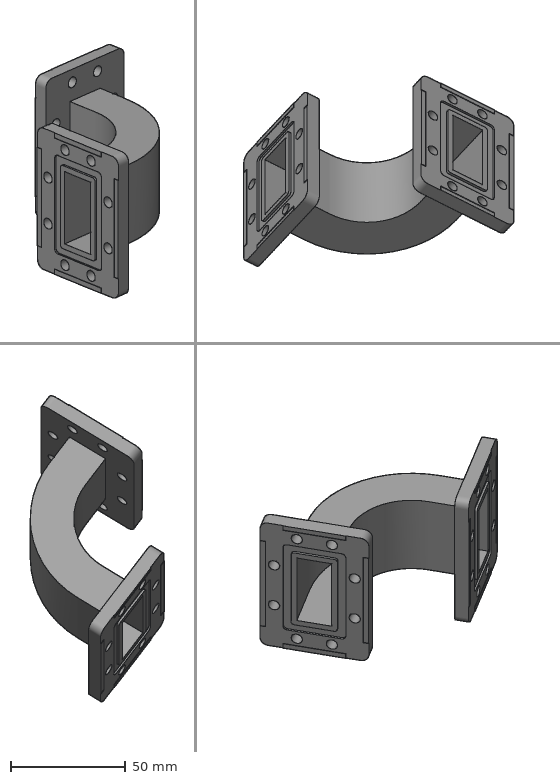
import cadquery as cq

BORE_WIDTH = 15.8
BORE_HEIGHT = 34.85
TUBE_WIDTH = 19.05
TUBE_HEIGHT = 38.1
BEND_RADIUS = 38.1
OVERALL = 85.12

FLANGE_WIDTH = 49.21
FLANGE_HEIGHT = 68.25
PLATE_THICKNESS = 6.35
CORNER_RADIUS = 3.8

PAD_RISE = 0.2
PAD_DEPTH = 2.5
GROOVE_OUTER_WIDTH = 28.4
GROOVE_OUTER_HEIGHT = 47.5
GROOVE_OUTER_RADIUS = 2.0
GROOVE_INNER_WIDTH = 21.0
GROOVE_INNER_HEIGHT = 40.1
GROOVE_INNER_RADIUS = 1.5
GROOVE_DEPTH = 1.1

HOLE_DIAMETER = 5.03
END_HOLE_PITCH = 15.875
END_ROW_SPACING = 55.56
SIDE_HOLE_PITCH = 22.225
SIDE_ROW_SPACING = 36.51

PORT_REACH = OVERALL - FLANGE_WIDTH / 2
FLANGE_THICKNESS = PLATE_THICKNESS + PAD_RISE
END_PAD_LENGTH = GROOVE_OUTER_WIDTH
SIDE_PAD_LENGTH = GROOVE_OUTER_HEIGHT


def rounded_block(width, height, thickness, radius):
    """Block standing on the XY plane, with rounded corner edges."""
    return cq.Workplane("XY").rect(width, height).extrude(thickness).edges("|Z").fillet(radius)


def pad_pair(x_offset, y_offset, width, height):
    """Two opposite pads, as tall as the whole flange."""
    return (
        cq.Workplane("XY")
        .pushPoints([(-x_offset, -y_offset), (x_offset, y_offset)])
        .rect(width, height)
        .extrude(FLANGE_THICKNESS)
    )


def edge_pads():
    """Four pads, one along the middle of each flange edge."""
    end_pads = pad_pair(0, (FLANGE_HEIGHT - PAD_DEPTH) / 2, END_PAD_LENGTH, PAD_DEPTH)
    side_pads = pad_pair((FLANGE_WIDTH - PAD_DEPTH) / 2, 0, PAD_DEPTH, SIDE_PAD_LENGTH)
    return end_pads.union(side_pads)


def hole_group(x_spacing, y_spacing):
    """Cylinders for four bolt holes at the corners of a rectangle."""
    return (
        cq.Workplane("XY")
        .rarray(x_spacing, y_spacing, 2, 2)
        .circle(HOLE_DIAMETER / 2)
        .extrude(FLANGE_THICKNESS)
    )


def bolt_holes():
    """Cylinders for the eight bolt holes."""
    end_holes = hole_group(END_HOLE_PITCH, END_ROW_SPACING)
    side_holes = hole_group(SIDE_ROW_SPACING, SIDE_HOLE_PITCH)
    return end_holes.union(side_holes)


def make_flange():
    """Flange with its back on the XY plane and its sealing face toward +Z."""
    plate = rounded_block(FLANGE_WIDTH, FLANGE_HEIGHT, PLATE_THICKNESS, CORNER_RADIUS)
    groove = rounded_block(
        GROOVE_OUTER_WIDTH, GROOVE_OUTER_HEIGHT, GROOVE_DEPTH, GROOVE_OUTER_RADIUS
    ).translate((0, 0, FLANGE_THICKNESS - GROOVE_DEPTH))
    land = rounded_block(GROOVE_INNER_WIDTH, GROOVE_INNER_HEIGHT, FLANGE_THICKNESS, GROOVE_INNER_RADIUS)
    return plate.union(edge_pads()).cut(groove).union(land).cut(bolt_holes())


def sweep_section(width, height):
    """Rectangular section swept from the -X port face around the bend to the -Y port face."""
    path = (
        cq.Workplane("XY")
        .moveTo(-PORT_REACH, 0)
        .lineTo(-BEND_RADIUS, 0)
        .tangentArcPoint((0, -BEND_RADIUS), relative=False)
        .lineTo(0, -PORT_REACH)
    )
    port_plane = cq.Workplane("YZ", origin=(-PORT_REACH, 0, 0))
    return port_plane.rect(width, height).sweep(path)


flange = make_flange()
flange_back = PORT_REACH - FLANGE_THICKNESS
front_flange = flange.rotate((0, 0, 0), (1, 0, 0), 90).translate((0, -flange_back, 0))
side_flange = front_flange.rotate((0, 0, 0), (0, 0, 1), -90)

tube = sweep_section(TUBE_WIDTH, TUBE_HEIGHT)
bore = sweep_section(BORE_WIDTH, BORE_HEIGHT)

result = tube.union(front_flange).union(side_flange).cut(bore)